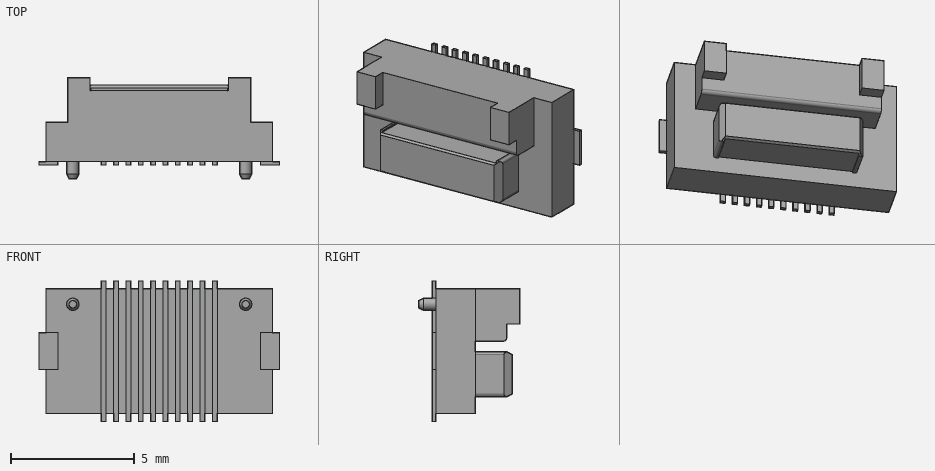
import cadquery as cq


body_width = 9.18
body_depth = 1.6
body_height = 5.06
body_top = body_height / 2

hood_width = 7.42
hood_length = 1.8
hood_height = 2.13
hood_edge_radius = 0.15
arm_height = 1.43
arm_reach = 0.53
arm_gap = 5.6
hood_end = body_depth + hood_length
wall_end = hood_end - arm_reach

tongue_width = 5.94
tongue_length = 1.5
tongue_height = 1.83
tongue_top_drop = 2.55
tongue_edge_radius = 0.12
tongue_side_taper_length = 0.35
tongue_side_taper_inset = 0.2
tongue_lead_in_length = 0.23
tongue_lead_in_drop = tongue_edge_radius
tongue_end = body_depth + tongue_length
tongue_center_z = body_top - tongue_top_drop - tongue_height / 2

recess_width = tongue_width - 2 * tongue_side_taper_inset
recess_depth = 0.06

lead_thickness = 0.15
pin_count = 10
pin_pitch = 0.5
pin_width = 0.2
pin_length = 5.7
pad_width = 0.77
pad_height = 1.5
pad_outer_span = 9.74

peg_diameter = 0.5
peg_length = 0.7
peg_tip_length = 0.19
peg_tip_inset = 0.1
peg_spacing = 7.0
peg_z = 1.9


def block(width, y_start, y_end, height, x_center=0, z_center=0):
    """Box centred in X and Z that runs from y_start to y_end."""
    box = cq.Workplane("XY").box(width, y_end - y_start, height)
    return box.translate((x_center, (y_start + y_end) / 2, z_center))


def make_hood():
    wall = block(hood_width, body_depth, wall_end, hood_height, z_center=body_top - hood_height / 2)
    wall = wall.edges(">Y and <Z").fillet(hood_edge_radius)
    arm_width = (hood_width - arm_gap) / 2
    arm_x = (hood_width + arm_gap) / 4
    arm_z = body_top - arm_height / 2
    for side in (-1, 1):
        wall = wall.union(block(arm_width, body_depth, hood_end, arm_height, side * arm_x, arm_z))
    return wall


def make_tongue():
    half_width = tongue_width / 2
    half_height = tongue_height / 2
    bar = block(tongue_width, body_depth, tongue_end, tongue_height).edges("|Y").fillet(tongue_edge_radius)

    plan = (
        cq.Workplane("XY")
        .moveTo(-half_width, body_depth)
        .lineTo(half_width, body_depth)
        .lineTo(half_width, tongue_end - tongue_side_taper_length)
        .lineTo(half_width - tongue_side_taper_inset, tongue_end)
        .lineTo(tongue_side_taper_inset - half_width, tongue_end)
        .lineTo(-half_width, tongue_end - tongue_side_taper_length)
        .close()
        .extrude(half_height, both=True)
    )

    profile = (
        cq.Workplane("YZ")
        .moveTo(body_depth, -half_height)
        .lineTo(tongue_end - tongue_lead_in_length, -half_height)
        .lineTo(tongue_end, tongue_lead_in_drop - half_height)
        .lineTo(tongue_end, half_height - tongue_lead_in_drop)
        .lineTo(tongue_end - tongue_lead_in_length, half_height)
        .lineTo(body_depth, half_height)
        .close()
        .extrude(half_width, both=True)
    )
    tongue = bar.intersect(plan).intersect(profile)

    recess_z = half_height - recess_depth / 2
    for side in (-1, 1):
        recess = block(recess_width, body_depth, tongue_end, recess_depth, z_center=side * recess_z)
        tongue = tongue.cut(recess)
    return tongue.translate((0, 0, tongue_center_z))


def make_peg(x):
    radius = peg_diameter / 2
    return (
        cq.Workplane("XZ", origin=(x, 0, peg_z))
        .circle(radius)
        .extrude(peg_length)
        .faces("<Y")
        .chamfer(peg_tip_length, peg_tip_inset)
    )


result = block(body_width, 0, body_depth, body_height)
result = result.union(make_hood())
result = result.union(make_tongue())

for index in range(pin_count):
    pin_x = (index - (pin_count - 1) / 2) * pin_pitch
    result = result.union(block(pin_width, -lead_thickness, 0, pin_length, pin_x))

pad_x = (pad_outer_span - pad_width) / 2
for side in (-1, 1):
    result = result.union(block(pad_width, -lead_thickness, 0, pad_height, side * pad_x))
    result = result.union(make_peg(side * peg_spacing / 2))